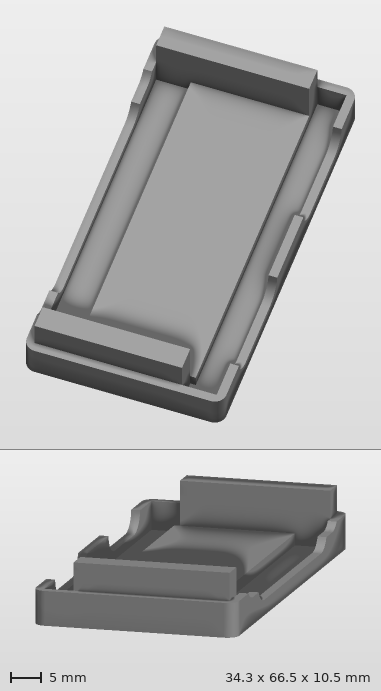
import cadquery as cq
import math

LENGTH_X = 34.3
LENGTH_Y = 66.5
RIM_Z = 5.8
WALL = 1.5
FLOOR_Z = 1.0
CORNER_RADIUS = 2.0

PLATFORM_Z = 3.0
PLATFORM_LEFT_GAP = 5.95
BAR_TOP_Z = 10.5
BAR_DEPTH = 4.0
BACK_BAR_LENGTH = 26.3
FRONT_BAR_LENGTH = 25.35

LEFT_RELIEF_CENTER_Y = -0.2
LEFT_SHELF_Z = 4.6
LEFT_BOTTOM_Z = 2.6
LEFT_SHELF_OUTER = 26.0
LEFT_SHELF_ARC_SPAN = 2.4
LEFT_BOTTOM_OUTER = 20.0
LEFT_BOTTOM_ARC_SPAN = 3.15

RIGHT_BOTTOM_Z = 2.5
RIGHT_RELIEF_OUTER = 25.1
RIGHT_RELIEF_INNER = 6.4
RIGHT_ARC_SPAN = 3.6

CAVITY_X = LENGTH_X - 2 * WALL
CAVITY_Y = LENGTH_Y - 2 * WALL
CAVITY_LEFT = -CAVITY_X / 2
CAVITY_FRONT = -CAVITY_Y / 2


def box(x, y, z, size_x, size_y, top_z):
    """Box from its minimum corner up to the height top_z."""
    return cq.Workplane("XY").box(size_x, size_y, top_z - z, centered=False).translate((x, y, z))


def make_shell():
    outer = cq.Workplane("XY").box(LENGTH_X, LENGTH_Y, RIM_Z, centered=(True, True, False))
    outer = outer.edges("|Z").fillet(CORNER_RADIUS)
    cavity = box(CAVITY_LEFT, CAVITY_FRONT, FLOOR_Z, CAVITY_X, CAVITY_Y, RIM_Z)
    return outer.cut(cavity)


def make_platform():
    size_x = BACK_BAR_LENGTH - PLATFORM_LEFT_GAP
    size_y = CAVITY_Y - 2 * BAR_DEPTH
    return box(CAVITY_LEFT + PLATFORM_LEFT_GAP, CAVITY_FRONT + BAR_DEPTH, 0, size_x, size_y, PLATFORM_Z)


def make_bars():
    front = box(CAVITY_LEFT, CAVITY_FRONT, 0, FRONT_BAR_LENGTH, BAR_DEPTH, BAR_TOP_Z)
    back_y = -CAVITY_FRONT - BAR_DEPTH
    back = box(CAVITY_LEFT, back_y, 0, BACK_BAR_LENGTH, BAR_DEPTH, BAR_TOP_Z)
    return front.union(back)


def relief_cutter(wall_x, center_y, half_width, arc_span, top_z, bottom_z):
    """Wall cutter open at top_z, with a concave arc at each end that runs tangent into its flat bottom."""
    depth = top_z - bottom_z
    radius = (arc_span**2 + depth**2) / (2 * depth)
    sweep = math.atan2(arc_span, radius - depth)
    mid_y = half_width - arc_span + radius * math.sin(sweep / 2)
    mid_z = bottom_z + radius * (1 - math.cos(sweep / 2))
    flat_half = half_width - arc_span
    profile = (
        cq.Workplane("YZ")
        .moveTo(-half_width, top_z)
        .threePointArc((-mid_y, mid_z), (-flat_half, bottom_z))
        .lineTo(flat_half, bottom_z)
        .threePointArc((mid_y, mid_z), (half_width, top_z))
        .close()
    )
    return profile.extrude(WALL).translate((wall_x, center_y, 0))


def cut_left_wall(body):
    levels = (
        (LEFT_SHELF_OUTER, LEFT_SHELF_ARC_SPAN, RIM_Z, LEFT_SHELF_Z),
        (LEFT_BOTTOM_OUTER, LEFT_BOTTOM_ARC_SPAN, LEFT_SHELF_Z, LEFT_BOTTOM_Z),
    )
    for half_width, arc_span, top_z, bottom_z in levels:
        cutter = relief_cutter(-LENGTH_X / 2, LEFT_RELIEF_CENTER_Y, half_width, arc_span, top_z, bottom_z)
        body = body.cut(cutter)
    return body


def cut_right_wall(body):
    half_width = (RIGHT_RELIEF_OUTER - RIGHT_RELIEF_INNER) / 2
    center_y = (RIGHT_RELIEF_OUTER + RIGHT_RELIEF_INNER) / 2
    for side in (-1, 1):
        cutter = relief_cutter(
            LENGTH_X / 2 - WALL, side * center_y, half_width, RIGHT_ARC_SPAN, RIM_Z, RIGHT_BOTTOM_Z
        )
        body = body.cut(cutter)
    return body


shell = cut_right_wall(cut_left_wall(make_shell()))
result = shell.union(make_platform()).union(make_bars())